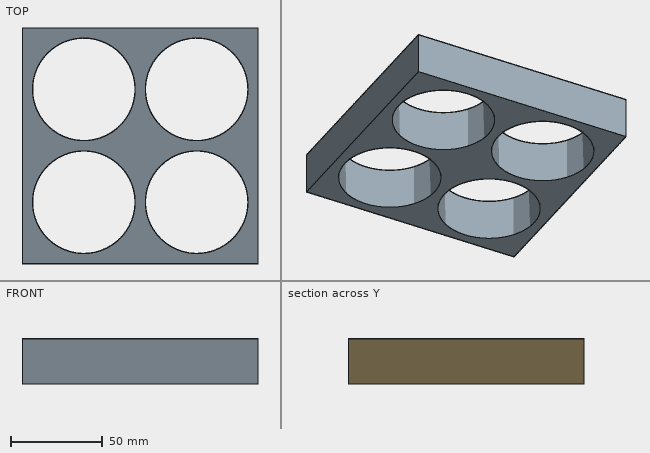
import cadquery as cq

plate_side = 129.6
plate_height = 25.0
hole_diameter = 56.2
hole_pitch = 62.0
holes_per_side = 2


def make_plate():
    """Square plate centred on the Z axis, resting on Z = 0."""
    return cq.Workplane("XY").box(plate_side, plate_side, plate_height, centered=(True, True, False))


def make_hole_cutters():
    """Square grid of cylinders that pass through the full plate height."""
    return (
        cq.Workplane("XY")
        .rarray(hole_pitch, hole_pitch, holes_per_side, holes_per_side)
        .circle(hole_diameter / 2)
        .extrude(plate_height)
    )


result = make_plate().cut(make_hole_cutters())